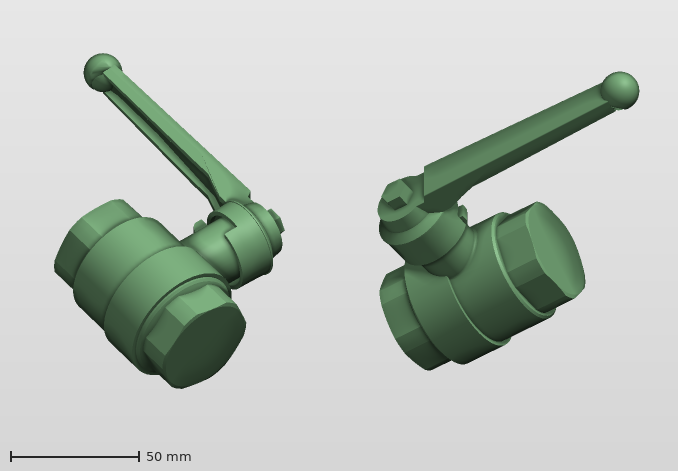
import cadquery as cq
import math


overall_length = 146.0
body_left = -34.6
body_right = 35.2
shell_left = -20.3
collar_left = 2.5
collar_right = 20.5
shell_radius = 22.8
collar_radius = 24.5
shell_edge = 0.9
hex_radius = 20.7
hex_across_flats = 38.8
left_hex_turn = 0
right_hex_turn = 11
end_bevel_depth = 0.5
end_bevel_width = 1.5
shoulder_ring = 0.7
shoulder_length = 2.9

stem_radius = 12.0
stem_fillet = 1.0
cap_bottom = 33.9
cap_notch_top = 40.1
cap_cavity_top = 42.3
cap_rim = 48.3
cap_bottom_radius = 15.5
cap_wall_radius = 15.8
cap_rim_radius = 16.2
cap_rim_thickness = 0.6
cap_cavity_radius = 13.7
notch_x = 3.8
notch_z = -3.8
boss_bottom = 51.0
boss_top = 56.8
boss_bottom_radius = 12.4
boss_top_radius = 11.1
nut_top = 62.0
nut_corner_radius = 5.8

lug_width = 6.4
lug_reach = 16.3
lug_top = 38.1
lug_nose = 35.0
lug_lower_nose = 33.4
lug_bottom = 31.5
lug_nose_setback = 1.0

ball_radius = 7.6
ball_x = body_right - overall_length + ball_radius
ball_y = 56.8
handle_end = -99.2
handle_hub = -5.8
handle_top = 59.7
handle_end_bottom = 53.4
handle_bend_bottom = 52.4
handle_top_fillet = 0.5
handle_end_half_width = 6.3
handle_hub_half_width = 8.6
bend_start = -30.6
bend_end = -18.0
top_step_start = -12.8
top_step_end = -10.8
side_break_x = -40.5
side_draft = 5

channel_end_half_width = 4.4
channel_hub_half_width = 5.5
channel_floor_end = -97.3
channel_floor_ramp = -93.1
channel_floor_peak = -67.7
channel_end_height = 55.7
channel_height = 56.5
channel_bend_x = -28.5
channel_bend_height = 54.1
channel_hub_x = -14.3
channel_hub_height = 49.9
ball_cut_x = -101.1
ball_cut_y = ball_y - ball_radius


def revolve_about_x(points):
    return cq.Workplane("XY").polyline(points).close().revolve(360, (0, 0, 0), (1, 0, 0))


def revolve_about_y(points):
    return cq.Workplane("XY").polyline(points).close().revolve(360, (0, 0, 0), (0, 1, 0))


def extrude_across(points, width):
    """Extrude an XY outline symmetrically along Z."""
    return cq.Workplane("XY").polyline(points).close().extrude(width / 2, both=True)


def hex_end(inner_x, outer_x, turn):
    """Round bar with six flats, its outer end bevelled; turn is in degrees about X."""
    direction = math.copysign(1, outer_x - inner_x)
    bar = revolve_about_x([
        (inner_x, 0),
        (inner_x, hex_radius),
        (outer_x - direction * end_bevel_depth, hex_radius),
        (outer_x, hex_radius - end_bevel_width),
        (outer_x, 0),
    ])
    hex_corner_diameter = hex_across_flats / math.cos(math.pi / 6)
    flats = (
        cq.Workplane("YZ", origin=(inner_x, 0, 0))
        .polygon(6, hex_corner_diameter)
        .extrude(outer_x - inner_x)
        .rotate((0, 0, 0), (1, 0, 0), -turn)
    )
    return bar.intersect(flats)


def make_shell():
    ring_end = collar_right + shoulder_ring
    shoulder_end = collar_right + shoulder_length
    return revolve_about_x([
        (shell_left, 0),
        (shell_left, shell_radius - shell_edge),
        (shell_left + shell_edge, shell_radius),
        (ring_end, shell_radius),
        (ring_end + shell_edge, shell_radius - shell_edge),
        (shoulder_end, hex_across_flats / 2),
        (shoulder_end, 0),
    ])


def make_shell_with_stem():
    stem = cq.Workplane("XZ").circle(stem_radius).extrude(-cap_rim)
    margin = 0.1
    footprint = stem_radius + margin
    joint = cq.selectors.BoxSelector(
        (-footprint, stem_radius, -footprint),
        (footprint, shell_radius + margin, footprint),
        boundingbox=True,
    )
    return make_shell().union(stem).edges(joint).fillet(stem_fillet)


def make_body():
    collar = (
        cq.Workplane("YZ", origin=(collar_left, 0, 0))
        .circle(collar_radius)
        .extrude(collar_right - collar_left)
    )
    left_end = hex_end(shell_left, body_left, left_hex_turn)
    right_end = hex_end(collar_right, body_right, right_hex_turn)
    return make_shell_with_stem().union(collar).union(left_end).union(right_end)


def make_stop_lug():
    return extrude_across([
        (0, lug_top),
        (-lug_reach, lug_top),
        (-lug_reach, lug_nose),
        (lug_nose_setback - lug_reach, lug_lower_nose),
        (-stem_radius, lug_bottom),
        (0, lug_bottom),
    ], lug_width)


def make_cap():
    cap = revolve_about_y([
        (0, cap_bottom),
        (cap_bottom_radius, cap_bottom),
        (cap_wall_radius, cap_rim - cap_rim_thickness),
        (cap_rim_radius, cap_rim - cap_rim_thickness),
        (cap_rim_radius, cap_rim),
        (boss_bottom_radius, boss_bottom),
        (boss_top_radius, boss_top),
        (0, boss_top),
    ])
    cavity = (
        cq.Workplane("XZ", origin=(0, cap_bottom, 0))
        .circle(cap_cavity_radius)
        .extrude(cap_bottom - cap_cavity_top)
    )
    notch_size = 2 * cap_rim_radius
    notch = (
        cq.Workplane("XY")
        .box(notch_size, cap_notch_top - cap_bottom, notch_size, centered=False)
        .translate((notch_x - notch_size, cap_bottom, notch_z))
    )
    nut = (
        cq.Workplane("XZ", origin=(0, boss_top, 0))
        .polygon(6, 2 * nut_corner_radius)
        .extrude(boss_top - nut_top)
    )
    return cap.cut(cavity).cut(notch).union(nut)


def plan_taper(end_x, end_half_width, hub_half_width, from_y, height, draft=0):
    """Symmetric XZ plan that widens toward the hub, extruded along Y from from_y."""
    return (
        cq.Workplane("XZ", origin=(0, from_y, 0))
        .polyline([
            (end_x, -end_half_width),
            (handle_hub, -hub_half_width),
            (handle_hub, hub_half_width),
            (end_x, end_half_width),
        ])
        .close()
        .extrude(-height, taper=draft)
    )


def make_handle():
    full_width = 4 * handle_hub_half_width
    blank = extrude_across([
        (handle_end, handle_top),
        (top_step_start, handle_top),
        (top_step_end, boss_top),
        (handle_hub, boss_top),
        (handle_hub, cap_rim),
        (bend_end, cap_rim),
        (bend_start, handle_bend_bottom),
        (side_break_x, handle_bend_bottom),
        (handle_end, handle_end_bottom),
    ], full_width)
    upright_region = extrude_across([
        (handle_end, ball_y),
        (side_break_x, ball_y),
        (bend_end, cap_rim),
        (handle_hub, cap_rim),
        (handle_hub, handle_top),
        (handle_end, handle_top),
    ], full_width)
    widths = (handle_end, handle_end_half_width, handle_hub_half_width)
    upright = plan_taper(*widths, cap_rim, handle_top - cap_rim).intersect(upright_region)
    drafted = plan_taper(*widths, ball_y, cap_rim - ball_y, side_draft)
    handle = blank.intersect(upright.union(drafted))
    return handle.faces(">Y").edges("not |Z").fillet(handle_top_fillet)


def make_ball():
    ball = cq.Workplane("XY").sphere(ball_radius).translate((ball_x, ball_y, 0))
    clearance = extrude_across([
        (ball_cut_x, ball_cut_y),
        (channel_floor_end, channel_end_height),
        (ball_x + 2 * ball_radius, channel_end_height),
        (ball_x + 2 * ball_radius, ball_cut_y),
    ], 2 * ball_radius)
    return ball.cut(clearance)


def make_channel():
    side = extrude_across([
        (ball_cut_x, ball_cut_y),
        (channel_floor_end, channel_end_height),
        (channel_floor_ramp, channel_height),
        (channel_floor_peak, channel_height),
        (channel_bend_x, channel_bend_height),
        (channel_hub_x, channel_hub_height),
        (channel_hub_x, cap_bottom),
        (ball_cut_x, cap_bottom),
    ], 2 * handle_hub_half_width)
    plan = plan_taper(
        ball_cut_x, channel_end_half_width, channel_hub_half_width, cap_bottom, handle_top - cap_bottom
    )
    return side.intersect(plan)


lever = make_handle().union(make_ball()).cut(make_channel())
result = make_body().union(make_stop_lug()).union(lever).union(make_cap())